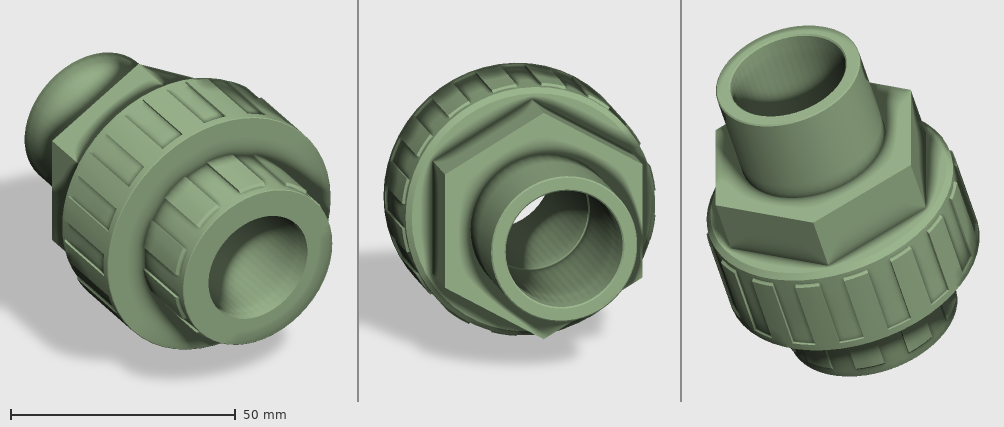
import cadquery as cq
import math

total_length = 73.3
spigot_length = 21.85
hex_length = 13.0
nut_length = 21.85
hex_start = spigot_length
nut_start = hex_start + hex_length
nut_end = nut_start + nut_length

spigot_diameter = 33.3
spigot_chamfer = 0.3
hex_across_flats = 44.9
spigot_bore_diameter = 26.6
spigot_bore_mouth_diameter = 27.3
through_bore_diameter = 25.7

edge_break = 0.15

nut_diameter = 58.0
nut_core_diameter = 56.8
nut_front_chamfer = 1.2
nut_rim_width = 1.8
nut_rib_count = 16
nut_rib_start = nut_start + 2.35
nut_rib_lead = 0.5
nut_rib_pitch = 360 / nut_rib_count
nut_rib_angle = nut_rib_pitch / 2
first_nut_rib_angle = nut_rib_pitch / 2

rib_root_overlap = 0.7

socket_diameter = 38.8
socket_rib_diameter = 40.0
socket_rib_count = 10
socket_rib_end = total_length - 2.1
socket_rib_lead = 0.7
socket_rib_angle = 19.0
first_socket_rib_angle = 90


def cylinder(start, end, diameter):
    """Solid cylinder around the X axis between two X positions."""
    return cq.Workplane("YZ", origin=(start, 0, 0)).circle(diameter / 2).extrude(end - start)


def revolved(profile):
    """Solid of revolution around the X axis from (x, radius) points."""
    return cq.Workplane("XY").polyline(profile).close().revolve(360, (0, 0, 0), (1, 0, 0))


def sectors(start, end, reach, count, width_angle, first_angle):
    """Equally spaced wedges around the X axis; angles are measured from +Y."""
    half_width = reach * math.tan(math.radians(width_angle / 2))
    wedge = (
        cq.Workplane("YZ", origin=(start, 0, 0))
        .polyline([(0, 0), (reach, -half_width), (reach, half_width)])
        .close()
        .extrude(end - start)
    )
    pitch = 360 / count
    return [wedge.rotate((0, 0, 0), (1, 0, 0), first_angle + index * pitch) for index in range(count)]


def ribs(envelope, start, end, reach, count, width_angle, first_angle):
    """Parts of a revolved envelope that lie inside the wedges."""
    wedges = sectors(start, end, reach, count, width_angle, first_angle)
    return [envelope.intersect(wedge) for wedge in wedges]


def make_body():
    spigot = cylinder(0, hex_start, spigot_diameter).faces("<X").chamfer(spigot_chamfer)
    hexagon = (
        cq.Workplane("YZ", origin=(hex_start, 0, 0))
        .polygon(6, hex_across_flats / math.cos(math.pi / 6))
        .extrude(hex_length)
        .rotate((0, 0, 0), (1, 0, 0), 90)
    )
    return spigot.union(hexagon)


def make_nut():
    rim_start = nut_end - nut_rim_width
    core = cylinder(nut_start, nut_end, nut_core_diameter).faces("<X").chamfer(nut_front_chamfer)
    rim = cylinder(rim_start, nut_end, nut_diameter).faces(">X").chamfer(edge_break)
    nut = core.union(rim)
    inner_radius = nut_core_diameter / 2 - rib_root_overlap
    outer_radius = nut_diameter / 2
    envelope = revolved([
        (nut_rib_start, inner_radius),
        (nut_rib_start, nut_core_diameter / 2),
        (nut_rib_start + nut_rib_lead, outer_radius),
        (rim_start, outer_radius),
        (rim_start, inner_radius),
    ])
    for rib in ribs(envelope, nut_rib_start, rim_start, nut_diameter, nut_rib_count,
                    nut_rib_angle, first_nut_rib_angle):
        nut = nut.union(rib)
    return nut


def make_socket():
    socket = cylinder(nut_end, total_length, socket_diameter).faces(">X").chamfer(edge_break)
    inner_radius = socket_diameter / 2 - rib_root_overlap
    outer_radius = socket_rib_diameter / 2
    envelope = revolved([
        (nut_end, inner_radius),
        (nut_end, outer_radius),
        (socket_rib_end - socket_rib_lead, outer_radius),
        (socket_rib_end, socket_diameter / 2),
        (socket_rib_end, inner_radius),
    ])
    for rib in ribs(envelope, nut_end, socket_rib_end, socket_rib_diameter, socket_rib_count,
                    socket_rib_angle, first_socket_rib_angle):
        socket = socket.union(rib)
    return socket


def make_bore():
    mouth_radius = spigot_bore_mouth_diameter / 2
    spigot_bore_radius = spigot_bore_diameter / 2
    through_radius = through_bore_diameter / 2
    mouth_depth = mouth_radius - spigot_bore_radius
    return revolved([
        (0, 0),
        (0, mouth_radius),
        (mouth_depth, spigot_bore_radius),
        (nut_start, spigot_bore_radius),
        (nut_start, through_radius),
        (total_length, through_radius),
        (total_length, 0),
    ])


result = make_body().union(make_nut()).union(make_socket()).cut(make_bore())